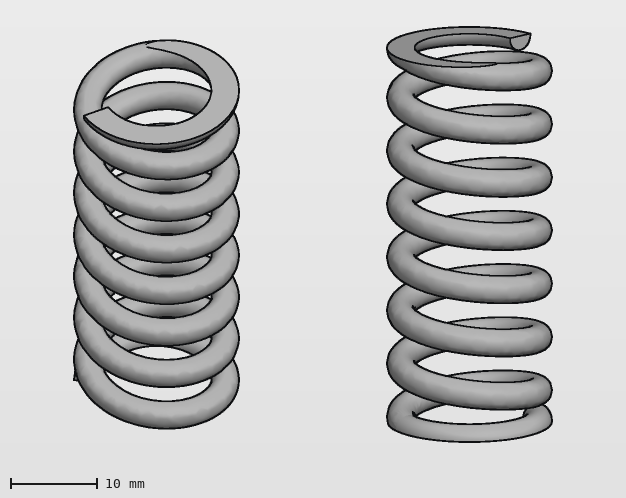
import cadquery as cq

height = 44.45
outer_diameter = 19.02
wire_diameter = 3.2
active_turns = 7
end_level = 0.1
end_sweep = 165.0
join_angle = 75.0

wire_radius = wire_diameter / 2
coil_radius = (outer_diameter - wire_diameter) / 2
rise = height - 2 * end_level
pitch = rise / active_turns


def wire_section():
    """Wire circle in the XZ plane, centred on the coil radius."""
    return cq.Workplane("XZ").center(coil_radius, 0).circle(wire_radius)


def active_coils():
    """Helical wire that climbs clockwise when seen from above."""
    path = cq.Wire.makeHelix(pitch, rise, coil_radius, lefthand=True)
    coils = wire_section().sweep(cq.Workplane(obj=path), isFrenet=True)
    return coils.rotate((0, 0, 0), (0, 0, 1), join_angle).translate((0, 0, end_level))


def closed_end(level, start_angle):
    """Level arc of wire that runs counterclockwise from start_angle."""
    axis_start = (-coil_radius, 0)
    axis_end = (-coil_radius, 1)
    arc = wire_section().revolve(end_sweep, axis_start, axis_end)
    return arc.rotate((0, 0, 0), (0, 0, 1), start_angle).translate((0, 0, level))


def ground(wire):
    """Wire cut flat at the bottom and top planes of the spring."""
    envelope = cq.Workplane("XY").circle(outer_diameter).extrude(height)
    return wire.intersect(envelope)


lower_end = ground(closed_end(end_level, join_angle))
upper_end = ground(closed_end(height - end_level, join_angle - end_sweep))
result = ground(active_coils()).union(lower_end).union(upper_end)